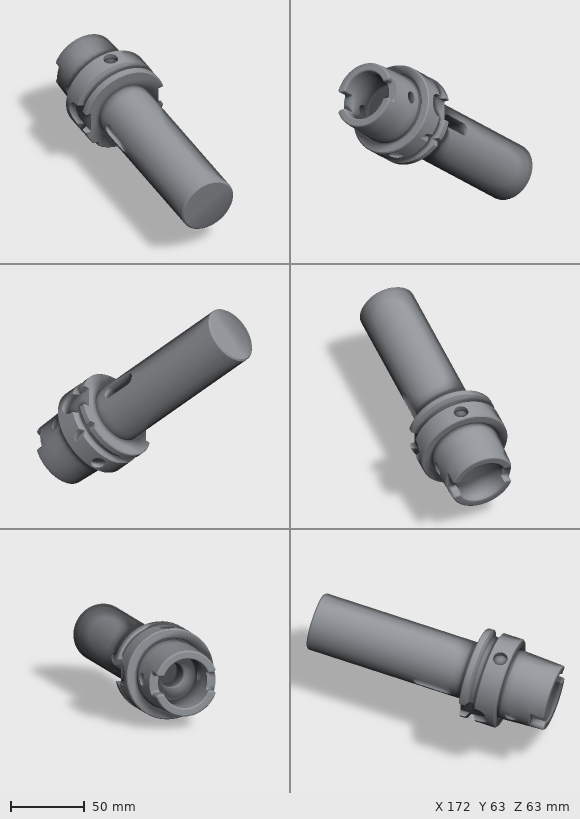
import cadquery as cq
import math


total_length = 172.0
flange_start = 32.0
flange_end = 58.0
flange_groove_centre = 49.9
flange_groove_floor_width = 3.1
flange_groove_top_width = 7.2

flange_radius = 63.0 / 2
flange_groove_radius = 27.5
cone_end_radius = 24.5
cone_slope = 0.05
shank_radius = 40.0 / 2

flange_chamfer = 0.7
shank_chamfer = 1.0

relief_start = 30.1
relief_radius = 48.2 / 2
relief_outer_radius = 25.5
relief_recess = 0.5
relief_bevel = 0.5

bore_diameter = 34.0
bore_depth = 29.2
bore_floor_fillet = 1.2
core_hole_diameter = 16.9
core_hole_depth = 43.0
core_hole_chamfer = 0.7

drive_slot_width = 12.5
drive_slot_depth_front = 5.8
drive_slot_depth_back = 9.8
drive_slot_floor_fillet = 1.4
land_corner_radius = 2.4
land_end_fillet = 1.2

cross_hole_diameter = 7.5
cross_hole_step_diameter = 8.5
cross_hole_step_depth = 3.1
cross_hole_mouth_diameter = 9.6
cross_hole_x = 23.0
chip_hole_diameter = 10.0
chip_hole_x = 38.9
chip_hole_depth = 4.6

keyway_width = 16.0
keyway_start = 37.0
keyway_floor = 26.3
side_notch_top = -19.8
side_notch_floor = 20.5

shank_slot_start = 67.0
shank_slot_length = 27.2
shank_slot_width = 9.0


def cone_radius(x):
    return cone_end_radius - cone_slope * (flange_start - x)


def along_x(diameter, start, end):
    """Cylinder on the X axis."""
    return cq.Workplane("YZ", origin=(start, 0, 0)).circle(diameter / 2).extrude(end - start)


def cone_along_x(start_diameter, end_diameter, start, length):
    """Cone on the X axis."""
    base = cq.Workplane("YZ", origin=(start, 0, 0)).circle(start_diameter / 2)
    return base.workplane(offset=length).circle(end_diameter / 2).loft()


def turned_body():
    relief_bottom = flange_start + relief_recess
    groove_floor_half = flange_groove_floor_width / 2
    groove_top_half = flange_groove_top_width / 2
    profile = [
        (0, 0),
        (0, cone_radius(0)),
        (relief_start, cone_radius(relief_start)),
        (relief_start + relief_bevel, relief_radius),
        (relief_bottom, relief_radius),
        (relief_bottom, relief_outer_radius - relief_bevel),
        (flange_start, relief_outer_radius),
        (flange_start, flange_radius - flange_chamfer),
        (flange_start + flange_chamfer, flange_radius),
        (flange_groove_centre - groove_top_half, flange_radius),
        (flange_groove_centre - groove_floor_half, flange_groove_radius),
        (flange_groove_centre + groove_floor_half, flange_groove_radius),
        (flange_groove_centre + groove_top_half, flange_radius),
        (flange_end - flange_chamfer, flange_radius),
        (flange_end, flange_radius - flange_chamfer),
        (flange_end, shank_radius),
        (total_length - shank_chamfer, shank_radius),
        (total_length, shank_radius - shank_chamfer),
        (total_length, 0),
    ]
    return cq.Workplane("XY").polyline(profile).close().revolve(360, (0, 0, 0), (1, 0, 0))


def drive_slot(side, depth):
    """Cutter for one nose slot, flared to round the land corners; side is -1 or +1 along Y."""
    half_width = drive_slot_width / 2
    rim = cone_radius(depth)
    corner_z = half_width + land_corner_radius
    corner_y = math.sqrt((rim - land_corner_radius) ** 2 - corner_z**2)
    rim_angle = math.atan2(corner_z, corner_y)
    mid_angle = (rim_angle - math.pi / 2) / 2

    def corner_point(angle):
        y = corner_y + land_corner_radius * math.cos(angle)
        return y, corner_z + land_corner_radius * math.sin(angle)

    def beyond_rim(sign):
        reach = rim + land_corner_radius
        return reach * math.cos(rim_angle), sign * reach * math.sin(rim_angle)

    def mirrored(point):
        return point[0], -point[1]

    outline = (
        cq.Workplane("YZ")
        .moveTo(0, -half_width)
        .lineTo(corner_y, -half_width)
        .threePointArc(mirrored(corner_point(mid_angle)), mirrored(corner_point(rim_angle)))
        .lineTo(*beyond_rim(-1))
        .lineTo(*beyond_rim(1))
        .lineTo(*corner_point(rim_angle))
        .threePointArc(corner_point(mid_angle), (corner_y, half_width))
        .lineTo(0, half_width)
        .close()
    )
    wall_line = cq.selectors.BoxSelector(
        (depth - 0.2, 0.2, -corner_z), (depth + 0.2, rim, corner_z)
    )
    slot = outline.extrude(depth).edges(wall_line).fillet(drive_slot_floor_fillet)
    return slot if side > 0 else slot.mirror("XZ")


def slotted_nose(body):
    """Bore the nose, cut both drive slots and round the end edges of the lands."""
    body = body.cut(along_x(bore_diameter, 0, bore_depth).faces(">X").edges().fillet(bore_floor_fillet))
    body = body.cut(drive_slot(-1, drive_slot_depth_front))
    body = body.cut(drive_slot(1, drive_slot_depth_back))
    body = body.faces("<X").edges().fillet(land_end_fillet)
    return body


def core_hole():
    """Blind hole with a chamfered mouth in the middle of the bore floor."""
    hole = along_x(core_hole_diameter, bore_depth, core_hole_depth)
    mouth_diameter = core_hole_diameter + 2 * core_hole_chamfer
    return hole.union(cone_along_x(mouth_diameter, core_hole_diameter, bore_depth, core_hole_chamfer))


def cross_hole():
    """Hole through both nose walls along Y, stepped and chamfered from each side."""
    hole = cq.Workplane("XZ").center(cross_hole_x, 0).circle(cross_hole_diameter / 2)
    hole = hole.extrude(flange_radius, both=True)
    wall = cone_radius(cross_hole_x)
    bevel = (cross_hole_mouth_diameter - cross_hole_step_diameter) / 2
    for side in (-1, 1):
        plane = cq.Plane(origin=(cross_hole_x, side * wall, 0), xDir=(1, 0, 0), normal=(0, -side, 0))
        step = cq.Workplane(plane).circle(cross_hole_step_diameter / 2).extrude(cross_hole_step_depth)
        mouth = cq.Workplane(plane).circle(cross_hole_mouth_diameter / 2)
        mouth = mouth.workplane(offset=bevel).circle(cross_hole_step_diameter / 2).loft()
        hole = hole.union(step).union(mouth)
    return hole


def chip_hole(side):
    """Blind hole into the flange rim; side is -1 or +1 along Z."""
    floor = side * (flange_radius - chip_hole_depth)
    plane = cq.Workplane("XY", origin=(chip_hole_x, 0, floor))
    return plane.circle(chip_hole_diameter / 2).extrude(side * 2 * chip_hole_depth)


def keyway(side, floor, centre_z):
    """Round-ended slot open to the back of the flange; side is -1 or +1 along Y."""
    length = flange_end - keyway_start
    plane = cq.Workplane("XZ", origin=(0, side * floor, 0)).center(keyway_start + length, centre_z)
    return plane.slot2D(2 * length, keyway_width).extrude(-side * flange_radius)


def shank_slot():
    """Round-ended slot through the shank along Y."""
    plane = cq.Workplane("XZ").center(shank_slot_start + shank_slot_length / 2, 0)
    return plane.slot2D(shank_slot_length, shank_slot_width).extrude(flange_radius, both=True)


result = slotted_nose(turned_body())
result = result.cut(core_hole()).cut(cross_hole())
for side in (-1, 1):
    result = result.cut(keyway(side, keyway_floor, 0))
    result = result.cut(chip_hole(side))
result = result.cut(keyway(-1, side_notch_floor, side_notch_top - keyway_width / 2))
result = result.cut(shank_slot())